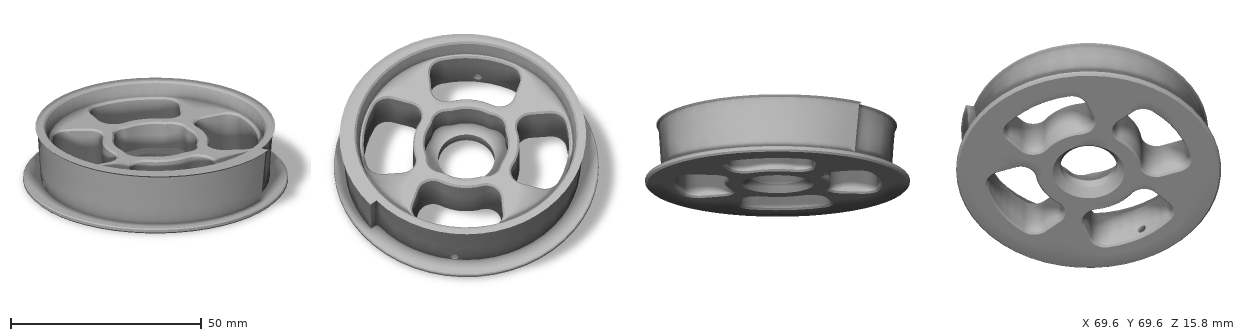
import cadquery as cq
import math

FLANGE_RADIUS = 34.8
HEIGHT = 15.8

FLANGE_THICKNESS = 1.45
FLANGE_TOP_CHAMFER = 0.3
FLANGE_BOTTOM_CHAMFER = 0.5

DRUM_RADIUS = 31.45
CAM_RISE = 2.1
STEP_Y = 1.4
LIP_HEIGHT = 0.55
LIP_TAPER = 45.0
DRUM_TAPER = 3.7

WEB_TOP = 12.0
RECESS_TOP_RADIUS = 28.95
RECESS_FLOOR_RADIUS = 28.0
EDGE_CHAMFER = 0.5

BORE_DIAMETER = 14.8
BORE_CHAMFER = 2.0
HUB_INNER_RADIUS = 11.0
HUB_OUTER_RADIUS = 14.0
HUB_FLOOR = 4.65
WINDOW_OUTER_RADIUS = 27.0
CORNER_RADIUS = 4.05
SPOKE_HALF_WIDTH = 2.8
SPOKE_FLARE = math.radians(34.0)
SPOKE_COUNT = 4

PIN_DIAMETER = 2.4
PIN_Z = 2.85
PIN_ANGLES = (45.0, 225.0)

NECK_DISTANCE = HUB_OUTER_RADIUS + CORNER_RADIUS
NECK_Y = SPOKE_HALF_WIDTH + CORNER_RADIUS
NECK_ANGLE = math.asin(NECK_Y / NECK_DISTANCE)
HALF_PITCH = math.pi / SPOKE_COUNT


def polar(radius, angle):
    return (radius * math.cos(angle), radius * math.sin(angle))


def offset(point, radius, angle):
    dx, dy = polar(radius, angle)
    return (point[0] + dx, point[1] + dy)


def mirrored(point):
    """Mirror a point across the middle line of a window."""
    distance = math.hypot(*point)
    return polar(distance, 2 * HALF_PITCH - math.atan2(point[1], point[0]))


def make_flange():
    disc = cq.Workplane("XY").circle(FLANGE_RADIUS).extrude(FLANGE_THICKNESS)
    disc = disc.faces(">Z").edges().chamfer(FLANGE_TOP_CHAMFER)
    return disc.faces("<Z").edges().chamfer(FLANGE_BOTTOM_CHAMFER)


def cam_outline(plane_z, inset):
    """Cam outline, moved inwards by the inset, on a horizontal plane."""
    base_radius = DRUM_RADIUS - inset
    cam_center_x = CAM_RISE / 2
    cam_radius = base_radius + cam_center_x
    step_y = STEP_Y - inset
    seam = (-math.sqrt(base_radius**2 - step_y**2), step_y)
    step_inner = (-seam[0], step_y)
    step_outer = (cam_center_x + math.sqrt(cam_radius**2 - step_y**2), step_y)
    return (
        cq.Workplane("XY", origin=(0, 0, plane_z))
        .moveTo(*step_inner)
        .threePointArc((0, base_radius), seam)
        .threePointArc((cam_center_x, -cam_radius), step_outer)
        .close()
    )


def make_drum():
    """Drum that narrows towards the flange, under a short flared lip."""
    lip_inset = LIP_HEIGHT * math.tan(math.radians(LIP_TAPER))
    wall_top = HEIGHT - LIP_HEIGHT
    lip = cam_outline(HEIGHT, 0).extrude(-LIP_HEIGHT, taper=LIP_TAPER)
    wall = cam_outline(wall_top, lip_inset).extrude(-wall_top, taper=DRUM_TAPER)
    return lip.union(wall)


def make_recess():
    """Tapered round recess with a chamfered mouth, as a cutter."""
    mouth_radius = RECESS_TOP_RADIUS + EDGE_CHAMFER
    profile = [
        (0, WEB_TOP),
        (RECESS_FLOOR_RADIUS, WEB_TOP),
        (RECESS_TOP_RADIUS, HEIGHT - EDGE_CHAMFER),
        (mouth_radius, HEIGHT),
        (0, HEIGHT),
    ]
    return cq.Workplane("XZ").polyline(profile).close().revolve(360, (0, 0, 0), (0, 1, 0))


def make_window():
    """Opening between two spokes, drawn between the spokes on +X and +Y."""
    neck = polar(NECK_DISTANCE, NECK_ANGLE)
    normal_angle = SPOKE_FLARE - math.pi / 2

    along = neck[0] * math.cos(SPOKE_FLARE) + neck[1] * math.sin(SPOKE_FLARE)
    across = neck[1] * math.cos(SPOKE_FLARE) - neck[0] * math.sin(SPOKE_FLARE)
    corner_distance = WINDOW_OUTER_RADIUS - CORNER_RADIUS
    travel = math.sqrt(corner_distance**2 - across**2) - along
    corner = offset(neck, travel, SPOKE_FLARE)
    corner_angle = math.atan2(corner[1], corner[0])

    hub_point = polar(HUB_OUTER_RADIUS, NECK_ANGLE)
    neck_middle = offset(neck, CORNER_RADIUS, (NECK_ANGLE - math.pi + normal_angle) / 2)
    flank_start = offset(neck, CORNER_RADIUS, normal_angle)
    flank_end = offset(corner, CORNER_RADIUS, normal_angle)
    corner_middle = offset(corner, CORNER_RADIUS, (normal_angle + corner_angle) / 2)
    rim_point = polar(WINDOW_OUTER_RADIUS, corner_angle)

    outline = (
        cq.Workplane("XY")
        .moveTo(*hub_point)
        .threePointArc(neck_middle, flank_start)
        .lineTo(*flank_end)
        .threePointArc(corner_middle, rim_point)
        .threePointArc(polar(WINDOW_OUTER_RADIUS, HALF_PITCH), mirrored(rim_point))
        .threePointArc(mirrored(corner_middle), mirrored(flank_end))
        .lineTo(*mirrored(flank_start))
        .threePointArc(mirrored(neck_middle), mirrored(hub_point))
        .threePointArc(polar(HUB_OUTER_RADIUS, HALF_PITCH), hub_point)
        .close()
    )
    return outline.extrude(WEB_TOP)


def make_hub_pocket():
    """Pocket with four arcs that swell into a rounded corner at each spoke."""
    neck = polar(NECK_DISTANCE, NECK_ANGLE)
    swell_radius = NECK_DISTANCE - HUB_INNER_RADIUS
    tip_x = neck[0] - math.sqrt((swell_radius + CORNER_RADIUS) ** 2 - neck[1] ** 2)
    tip_angle = math.atan2(neck[1], neck[0] - tip_x)

    tip = (tip_x + CORNER_RADIUS, 0)
    swell_end = offset((tip_x, 0), CORNER_RADIUS, tip_angle)
    swell_middle = offset(neck, swell_radius, math.pi + (tip_angle + NECK_ANGLE) / 2)
    swell_start = polar(HUB_INNER_RADIUS, NECK_ANGLE)
    hub_middle = polar(HUB_INNER_RADIUS, HALF_PITCH)

    def turned(point, index):
        return polar(math.hypot(*point), math.atan2(point[1], point[0]) + 2 * HALF_PITCH * index)

    outline = cq.Workplane("XY", origin=(0, 0, HUB_FLOOR)).moveTo(swell_end[0], -swell_end[1])
    for index in range(SPOKE_COUNT):
        outline = (
            outline.threePointArc(turned(tip, index), turned(swell_end, index))
            .threePointArc(turned(swell_middle, index), turned(swell_start, index))
            .threePointArc(turned(hub_middle, index), turned(mirrored(swell_start), index))
            .threePointArc(turned(mirrored(swell_middle), index), turned(mirrored(swell_end), index))
        )
    return outline.close().extrude(WEB_TOP - HUB_FLOOR)


def make_bore():
    """Through bore, widened by a chamfer at the bottom."""
    radius = BORE_DIAMETER / 2
    bore = cq.Workplane("XY").circle(radius).extrude(WEB_TOP)
    mouth = cq.Workplane("XY").circle(radius + BORE_CHAMFER).extrude(BORE_CHAMFER, taper=45)
    return bore.union(mouth)


def make_pin_hole(angle):
    """Radial hole through the drum wall into a window."""
    start = (WINDOW_OUTER_RADIUS - CORNER_RADIUS, 0, PIN_Z)
    hole = cq.Workplane("YZ", origin=start).circle(PIN_DIAMETER / 2).extrude(FLANGE_RADIUS - start[0])
    return hole.rotate((0, 0, 0), (0, 0, 1), angle)


def chamfer_openings(body, plane_z):
    """Chamfer the edge of every opening in the flat face at the given height."""
    face = body.faces(cq.selectors.NearestToPointSelector((0, 0, plane_z))).val()
    mouth_edges = [edge for wire in face.innerWires() for edge in wire.Edges()]
    return body.newObject(mouth_edges).chamfer(EDGE_CHAMFER)


result = make_flange().union(make_drum()).cut(make_recess()).cut(make_hub_pocket())
window = make_window()
for index in range(SPOKE_COUNT):
    result = result.cut(window.rotate((0, 0, 0), (0, 0, 1), index * 360 / SPOKE_COUNT))
for plane_z in (0, WEB_TOP):
    result = chamfer_openings(result, plane_z)
result = result.cut(make_bore())
for angle in PIN_ANGLES:
    result = result.cut(make_pin_hole(angle))